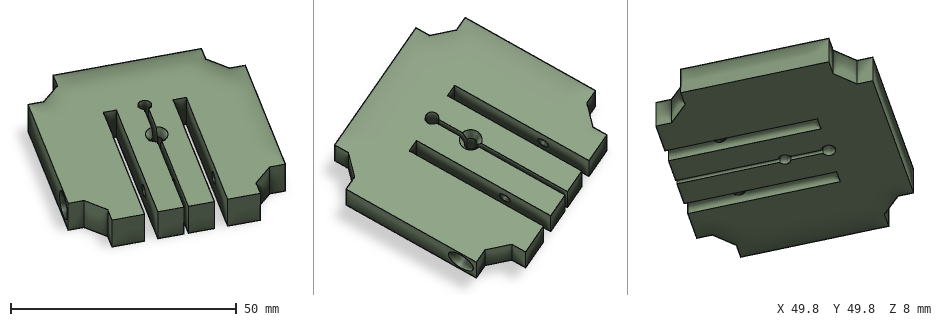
import cadquery as cq
import math

plate_size = 49.8
plate_thickness = 8.0
half_size = plate_size / 2
half_thickness = plate_thickness / 2

corner_count = 4
edge_half_length = 17.0
corner_flat_reach = 21.3

slot_start_x = -10.1
finger_slot_width = 3.0
finger_slot_offset = 8.0
slit_width = 1.0
slit_relief_diameter = 3.0

bore_diameter = 2.7
bore_mouth_diameter = 5.0
bore_mouth_depth = 2.0

screw_x = 12.95
screw_diameter = 2.8
screw_head_diameter = 6.5
screw_head_depth = 10.0
screw_full_depth = 43.0
drill_tip_angle = 118.0


def make_plate():
    """Square plate with the same relief cut into each corner."""
    corner_points = [
        (half_size, edge_half_length),
        (corner_flat_reach, edge_half_length),
        (edge_half_length, corner_flat_reach),
        (edge_half_length, half_size),
    ]
    outline = []
    for _ in range(corner_count):
        outline += corner_points
        corner_points = [(-y, x) for x, y in corner_points]
    return (
        cq.Workplane("XY")
        .workplane(offset=-half_thickness)
        .polyline(outline)
        .close()
        .extrude(plate_thickness)
    )


def make_slot(center_y, width):
    """Through slot from the common start out past the +X side."""
    length = half_size - slot_start_x
    return (
        cq.Workplane("XY")
        .box(length, width, plate_thickness, centered=(False, True, True))
        .translate((slot_start_x, center_y, 0))
    )


def make_slit_relief():
    """Round through hole at the closed end of the slit."""
    return (
        cq.Workplane("XY")
        .center(slot_start_x, 0)
        .circle(slit_relief_diameter / 2)
        .extrude(half_thickness, both=True)
    )


def make_center_bore():
    """Through bore with a cone widening up to the top face, revolved about Z."""
    bore_radius = bore_diameter / 2
    mouth_radius = bore_mouth_diameter / 2
    profile = [
        (0, -half_thickness),
        (bore_radius, -half_thickness),
        (bore_radius, half_thickness - bore_mouth_depth),
        (mouth_radius, half_thickness),
        (0, half_thickness),
    ]
    return cq.Workplane("XZ").polyline(profile).close().revolve(360, (0, 0), (0, 1))


def make_screw_hole():
    """Counterbored blind hole with a drill point, revolved about its axis."""
    hole_radius = screw_diameter / 2
    head_radius = screw_head_diameter / 2
    tip_length = hole_radius / math.tan(math.radians(drill_tip_angle / 2))
    head_end_y = screw_head_depth - half_size
    hole_end_y = screw_full_depth - half_size
    profile = [
        (0, -half_size),
        (head_radius, -half_size),
        (head_radius, head_end_y),
        (hole_radius, head_end_y),
        (hole_radius, hole_end_y),
        (0, hole_end_y + tip_length),
    ]
    return (
        cq.Workplane("XY")
        .polyline(profile)
        .close()
        .revolve(360, (0, 0), (0, 1))
        .translate((screw_x, 0, 0))
    )


result = make_plate()
for side in (-1, 1):
    result = result.cut(make_slot(side * finger_slot_offset, finger_slot_width))
result = result.cut(make_slot(0, slit_width))
result = result.cut(make_slit_relief())
result = result.cut(make_center_bore())
result = result.cut(make_screw_hole())